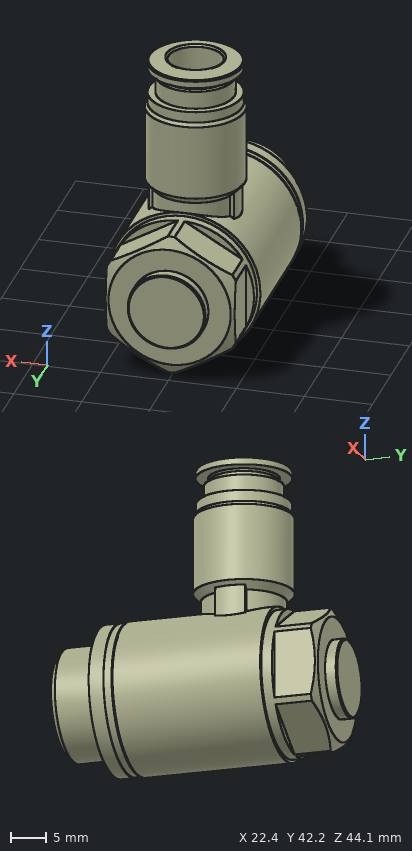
import cadquery as cq
import math


THREAD_FRONT = -26.4
WASHER_FRONT = -19.55
WASHER_STEP = -17.35
WASHER_BACK = -16.15
BODY_FRONT = -15.9
BODY_BACK = 6.15
HEX_FRONT = 7.7
HEX_BACK = 14.02
KNOB_BACK = 15.8

THREAD_DIA = 16.65
WASHER_DIA = 22.15
SEAL_DIA = 22.0
GROOVE_DIA = 21.4
BODY_DIA = 22.4
COLLAR_DIA = 21.4
KNOB_DIA = 11.4
THREAD_CHAMFER = 0.93
KNOB_CHAMFER = 0.18

HEX_ACROSS_FLATS = 19.0
HEX_END_DIA = 18.0
HEX_CHAMFER_LENGTH = 0.9

RIB_TOP = 13.55
SOCKET_BOTTOM = 12.88
SOCKET_LOWER_EDGE = 14.05
SOCKET_UPPER_EDGE = 25.25
TIER_BOTTOM = 25.85
TIER_TOP = 27.47
SLEEVE_TOP = 30.1
FLARE_BOTTOM = 30.9
FLANGE_BOTTOM = 31.25
FLANGE_TOP = 32.45
RING_TOP = 44.1 - BODY_DIA / 2

STEM_DIA = 12.25
SOCKET_DIA = 14.5
TIER_DIA = 13.7
SLEEVE_DIA = 11.4
RING_NECK_DIA = 9.8
FLARE_DIA = 10.2
FLANGE_DIA = 13.8
FLANGE_CHAMFER = 0.18

RIB_DIA = 13.3
RIB_WIDTH = 4.5

FRONT_BORE_DIA = 6.5
FRONT_BORE_END = 4.4
TUBE_BORE_DIA = 8.0
TUBE_BORE_FLOOR = 17.65
PASSAGE_DIA = 4.0
FRONT_MOUTH_CHAMFER = 0.18
TUBE_MOUTH_CHAMFER = 0.3


def disc_y(diameter, start, end):
    """Cylinder on the Y axis between two stations."""
    plane = cq.Workplane("XZ", origin=(0, end, 0))
    return plane.circle(diameter / 2).extrude(end - start)


def disc_z(diameter, bottom, top):
    """Cylinder on the Z axis between two heights."""
    plane = cq.Workplane("XY", origin=(0, 0, bottom))
    return plane.circle(diameter / 2).extrude(top - bottom)


def make_body():
    """Thread, washer, seal groove, main barrel and collar along the Y axis."""
    body = disc_y(THREAD_DIA, THREAD_FRONT, WASHER_FRONT).faces("<Y").chamfer(THREAD_CHAMFER)
    body = body.union(disc_y(WASHER_DIA, WASHER_FRONT, WASHER_STEP))
    body = body.union(disc_y(SEAL_DIA, WASHER_STEP, WASHER_BACK))
    body = body.union(disc_y(GROOVE_DIA, WASHER_BACK, BODY_FRONT))
    body = body.union(disc_y(BODY_DIA, BODY_FRONT, BODY_BACK))
    return body.union(disc_y(COLLAR_DIA, BODY_BACK, HEX_FRONT))


def make_hex():
    """Hexagon with flats facing +X and -X, coned at its back end."""
    corner_dia = HEX_ACROSS_FLATS / math.cos(math.pi / 6)
    plane = cq.Workplane("XZ", origin=(0, HEX_BACK, 0))
    prism = plane.polygon(6, corner_dia).extrude(HEX_BACK - HEX_FRONT)
    prism = prism.rotate((0, 0, 0), (0, 1, 0), 30)
    envelope = (
        cq.Workplane("XY")
        .moveTo(0, HEX_FRONT)
        .lineTo(COLLAR_DIA / 2, HEX_FRONT)
        .lineTo(COLLAR_DIA / 2, HEX_BACK - HEX_CHAMFER_LENGTH)
        .lineTo(HEX_END_DIA / 2, HEX_BACK)
        .lineTo(0, HEX_BACK)
        .close()
        .revolve(360, (0, 0, 0), (0, 1, 0))
    )
    return prism.intersect(envelope)


def make_socket():
    """Stem, socket shell and release ring, turned about the Z axis."""
    tube_mouth_dia = TUBE_BORE_DIA + 2 * TUBE_MOUTH_CHAMFER
    profile = [
        (0, 0),
        (STEM_DIA, 0),
        (STEM_DIA, SOCKET_BOTTOM),
        (SOCKET_DIA, SOCKET_LOWER_EDGE),
        (SOCKET_DIA, SOCKET_UPPER_EDGE),
        (TIER_DIA, TIER_BOTTOM),
        (TIER_DIA, TIER_TOP),
        (SLEEVE_DIA, TIER_TOP),
        (SLEEVE_DIA, SLEEVE_TOP),
        (RING_NECK_DIA, SLEEVE_TOP),
        (RING_NECK_DIA, FLARE_BOTTOM),
        (FLARE_DIA, FLANGE_BOTTOM),
        (FLANGE_DIA, FLANGE_BOTTOM),
        (FLANGE_DIA, FLANGE_TOP - FLANGE_CHAMFER),
        (FLANGE_DIA - 2 * FLANGE_CHAMFER, FLANGE_TOP),
        (tube_mouth_dia, RING_TOP),
        (0, RING_TOP),
    ]
    points = [(diameter / 2, height) for diameter, height in profile]
    return cq.Workplane("XZ").polyline(points).close().revolve(360, (0, 0, 0), (0, 1, 0))


def make_ribs():
    """Rounded ribs that stand out from the stem on both X sides."""
    slab = cq.Workplane("XY").rect(RIB_DIA, RIB_WIDTH).extrude(RIB_TOP)
    return disc_z(RIB_DIA, 0, RIB_TOP).intersect(slab)


def mouth_cone(diameter, chamfer):
    """45 degree countersink for a hole, opening upward with its rim at Z = 0."""
    radius = diameter / 2
    return cq.Workplane(cq.Solid.makeCone(radius, radius + chamfer, chamfer)).translate((0, 0, -chamfer))


def cut_bores(part):
    """Front bore and tube bore, joined by a narrower passage."""
    front_mouth = mouth_cone(FRONT_BORE_DIA, FRONT_MOUTH_CHAMFER)
    front_mouth = front_mouth.rotate((0, 0, 0), (1, 0, 0), 90).translate((0, THREAD_FRONT, 0))
    tube_mouth = mouth_cone(TUBE_BORE_DIA, TUBE_MOUTH_CHAMFER).translate((0, 0, RING_TOP))
    front_bore = disc_y(FRONT_BORE_DIA, THREAD_FRONT, FRONT_BORE_END)
    tube_bore = disc_z(TUBE_BORE_DIA, TUBE_BORE_FLOOR, RING_TOP)
    passage = disc_z(PASSAGE_DIA, 0, TUBE_BORE_FLOOR)
    return part.cut(front_bore).cut(tube_bore).cut(passage).cut(front_mouth).cut(tube_mouth)


knob = disc_y(KNOB_DIA, HEX_BACK, KNOB_BACK).faces(">Y").chamfer(KNOB_CHAMFER)
outside = make_body().union(make_hex()).union(knob).union(make_socket()).union(make_ribs())
result = cut_bores(outside)